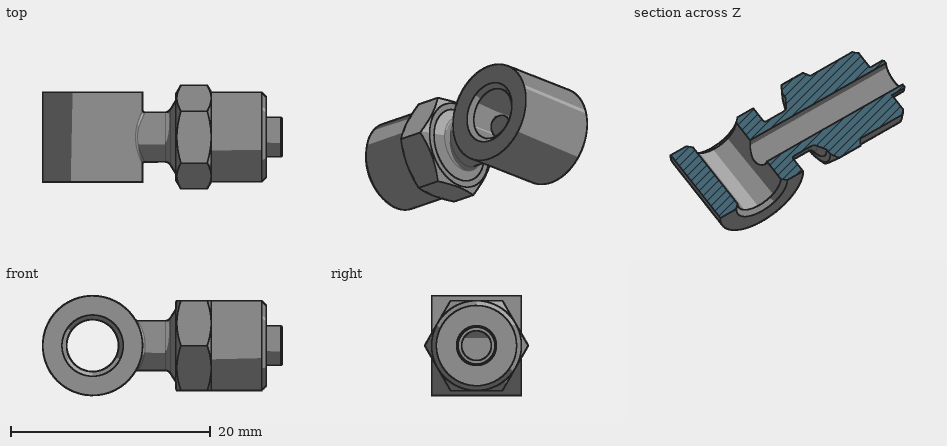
import cadquery as cq
import math

overall_length = 24.0

eye_diameter = 10.0
eye_radius = eye_diameter / 2
eye_width = 9.0
eye_bore_radius = 2.6
eye_bore_chamfer = 0.48

neck_radius = 2.5
neck_root_fillet = 0.25
flare_fillet = 0.6
flare_start = 7.6
flare_radius = 3.7
nut_start = 8.35
nut_end = 11.88
nut_across_flats = 9.0
nut_face_radius = 4.35
nut_chamfer_angle = 30
hexagon_sides = 6
sleeve_radius = nut_across_flats / 2
sleeve_end = 17.4
sleeve_chamfer = 0.48
tip_radius = 2.0
tip_end = overall_length - eye_radius
tip_chamfer = 0.15
flow_bore_radius = 1.5

selection_margin = 0.25


def cylinder_along_x(radius, start, end):
    return cq.Workplane("YZ").workplane(offset=start).circle(radius).extrude(end - start)


def make_neck():
    """Straight neck opening into a cone that meets the nut, with a rounded corner."""
    outline = [
        (0, 0),
        (0, neck_radius),
        (flare_start, neck_radius),
        (nut_start, flare_radius),
        (nut_start, 0),
    ]
    neck = cq.Workplane("XY").polyline(outline).close().revolve(360, (0, 0, 0), (1, 0, 0))
    corner = cq.selectors.BoxSelector(
        (flare_start - selection_margin, -neck_radius - selection_margin, -neck_radius - selection_margin),
        (flare_start + selection_margin, neck_radius + selection_margin, neck_radius + selection_margin),
        boundingbox=True,
    )
    return neck.edges(corner).fillet(flare_fillet)


def make_nut():
    """Hexagon with corners on +Y and -Y, both ends trimmed by a cone."""
    corner_radius = nut_across_flats / 2 / math.cos(math.pi / hexagon_sides)
    chamfer_slope = math.tan(math.radians(nut_chamfer_angle))
    start_chamfer = (corner_radius - nut_face_radius) * chamfer_slope
    end_chamfer = (corner_radius - sleeve_radius) * chamfer_slope
    hexagon = (
        cq.Workplane("YZ")
        .workplane(offset=nut_start)
        .polygon(hexagon_sides, 2 * corner_radius)
        .extrude(nut_end - nut_start)
    )
    envelope_outline = [
        (nut_start, 0),
        (nut_start, nut_face_radius),
        (nut_start + start_chamfer, corner_radius),
        (nut_end - end_chamfer, corner_radius),
        (nut_end, sleeve_radius),
        (nut_end, 0),
    ]
    envelope = cq.Workplane("XY").polyline(envelope_outline).close().revolve(360, (0, 0, 0), (1, 0, 0))
    return hexagon.intersect(envelope)


def make_eye_bore():
    """Through bore with a chamfer at each mouth."""
    half_width = eye_width / 2
    mouth_radius = eye_bore_radius + eye_bore_chamfer
    outline = [
        (0, -half_width),
        (mouth_radius, -half_width),
        (eye_bore_radius, -half_width + eye_bore_chamfer),
        (eye_bore_radius, half_width - eye_bore_chamfer),
        (mouth_radius, half_width),
        (0, half_width),
    ]
    return cq.Workplane("XY").polyline(outline).close().revolve(360, (0, 0, 0), (0, 1, 0))


eye = cq.Workplane("XZ").circle(eye_radius).extrude(eye_width / 2, both=True)

root_selector = cq.selectors.BoxSelector(
    (eye_radius / 2, -neck_radius - selection_margin, -neck_radius - selection_margin),
    (eye_radius + selection_margin, neck_radius + selection_margin, neck_radius + selection_margin),
    boundingbox=True,
)
body = eye.union(make_neck()).edges(root_selector).fillet(neck_root_fillet)

sleeve = cylinder_along_x(sleeve_radius, nut_end, sleeve_end).faces(">X").chamfer(sleeve_chamfer)
tip = cylinder_along_x(tip_radius, sleeve_end, tip_end).faces(">X").chamfer(tip_chamfer)

flow_bore = cylinder_along_x(flow_bore_radius, 0, tip_end)

result = body.union(make_nut()).union(sleeve).union(tip).cut(make_eye_bore()).cut(flow_bore)